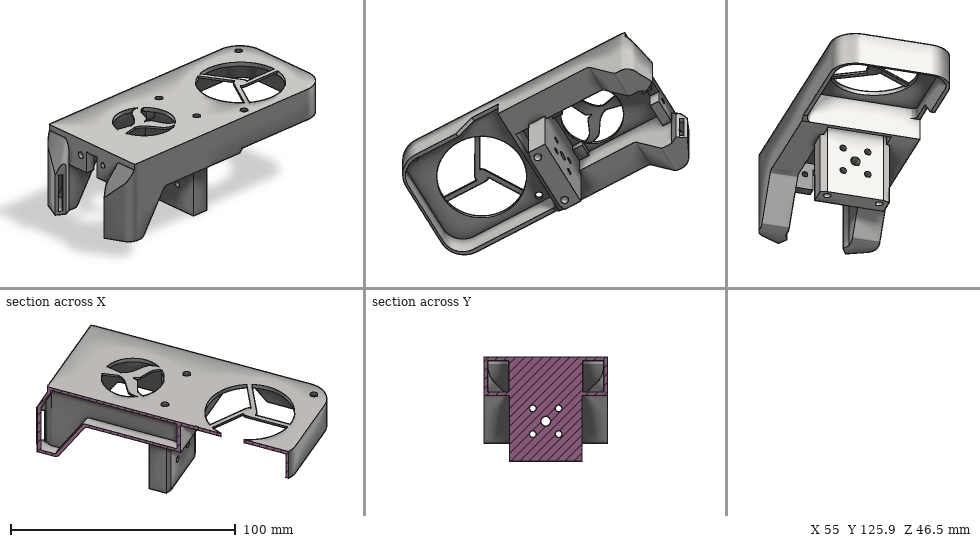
import cadquery as cq
import math

width = 55.0
length = 125.9
half_width = width / 2
front_y = 7.5
roof = 2.0
grille_thickness = 1.0

rear_depth = 15.2
rear_corner_radius = 11.6
rear_inner_radius = 10.1
rear_wall = 1.0
side_wall = 1.9
divider_y = 72.3
divider_thickness = 2.0
divider_fillet = 2.3
step_run = 1.9
cutout_top = 7.0
cutout_slope_end = 85.6

duct_depth = 17.1
duct_wall = 1.8
duct_inner_x = 14.7
duct_overlap_x = duct_inner_x + duct_wall
leg_depth = 38.4
leg_top_y = 26.0
leg_bottom_y = 12.5
leg_bend_radius = 2.8
finger_arc_radius = 5.9
finger_arc_start_y = 9.5
finger_tip_x = 15.6
finger_inner_x = 13.1
finger_inner_y = 4.3
finger_bend_y = 7.7
finger_angle = 27.0
slope_start_depth = 2.9
slope_end_depth = 18.3
finger_edge_radius = 1.9
slot_width = 2.0
slot_top = 18.6
slot_height = leg_depth - duct_wall - slot_top
slot_reach = 6.3

front_wall = 4.4
front_wall_depth = 15.4
notch_width = 6.5
notch_top = 5.2
wire_hole_x = 7.0
wire_hole_depth = 7.9
wire_hole_diameters = {-1: 3.1, 1: 2.5}

plate_width = 32.2
plate_front_y = 54.8
plate_rear_y = 64.1
plate_depth = 46.5
plate_bevel_y = 1.0
plate_bevel_x = 3.0
plate_hole_pitch = 11.5
plate_hole_diameter = 2.9
plate_centre_hole_diameter = 4.3
plate_hole_centre_depth = 28.6
block_inner_x = 8.8
block_length = 4.9
block_depth = 6.3

large_fan_x = 2.0
large_fan_y = 97.5
large_fan_diameter = 39.9
hub_radius = 3.1
spoke_width = 2.3

small_fan_y = 39.8
small_fan_radius = 14.0
blade_overrun = 1.1
tail_half_width = 3.0

fan_screws = [(-21.0, 118.5), (22.5, 79.8)]
plate_screws = [(-12.1, 60.7), (12.1, 60.7)]
screw_diameter = 3.4


def box(x0, x1, y0, y1, depth, top=0.0):
    """Block between two X and two Y positions, from depth `top` down to `depth`."""
    plane = cq.Workplane("XY", origin=((x0 + x1) / 2, (y0 + y1) / 2, -depth))
    return plane.rect(x1 - x0, y1 - y0).extrude(depth - top)


def both_sides(shape):
    """A shape joined to its mirror image across the middle of the part."""
    return shape.union(shape.mirror("YZ"))


def side_profile(points):
    """Closed outline in Y and Z, ready to extrude along X from the middle of the part."""
    return cq.Workplane("YZ").polyline(points).close()


def rear_shell():
    """Fan compartment, open underneath, with a cutout in its left wall."""
    rear_inner_y = length - rear_wall
    inner_half = half_width - side_wall
    outer = box(-half_width, half_width, divider_y, length, rear_depth)
    outer = outer.edges("|Z and >Y").fillet(rear_corner_radius)
    wedge = side_profile(
        [
            (divider_y, -rear_depth),
            (divider_y, -duct_depth),
            (divider_y + step_run, -rear_depth),
        ]
    ).extrude(half_width, both=True)
    cavity = box(-inner_half, inner_half, divider_y, rear_inner_y, plate_depth, roof)
    cavity = cavity.edges("|Z and >Y").fillet(rear_inner_radius)
    cavity = cavity.edges("|Z and <Y").fillet(divider_fillet)
    slope_drop = duct_depth - cutout_top
    cutout = side_profile(
        [
            (divider_y, -cutout_top),
            (cutout_slope_end, -cutout_top),
            (cutout_slope_end + slope_drop, -duct_depth),
            (divider_y, -duct_depth),
        ]
    ).extrude(-half_width)
    cutout = cutout.intersect(box(-half_width, divider_fillet - inner_half, 0, length, plate_depth))
    return outer.union(wedge).cut(cavity).cut(cutout)


def duct_plan(rear_y, bend_y, top=0.0):
    """Outline of the right duct and finger along Z; its inner side turns parallel to Y at bend_y."""
    angle = math.radians(finger_angle)
    half_turn = (math.pi / 2 - angle) / 2
    arc_x = half_width - finger_arc_radius
    arc_middle = (
        arc_x + finger_arc_radius * math.cos(half_turn),
        finger_arc_start_y - finger_arc_radius * math.sin(half_turn),
    )
    arc_end = (
        arc_x + finger_arc_radius * math.sin(angle),
        finger_arc_start_y - finger_arc_radius * math.cos(angle),
    )
    inner_slant = (duct_inner_x - finger_inner_x) / (finger_bend_y - finger_inner_y)
    bend_x = finger_inner_x + inner_slant * (bend_y - finger_inner_y)
    outline = (
        cq.Workplane("XY", origin=(0, 0, top))
        .moveTo(half_width, rear_y)
        .lineTo(half_width, finger_arc_start_y)
        .threePointArc(arc_middle, arc_end)
        .lineTo(finger_tip_x, 0)
        .lineTo(finger_inner_x, finger_inner_y)
        .lineTo(bend_x, bend_y)
    )
    if bend_y < rear_y:
        outline = outline.lineTo(bend_x, rear_y)
    return outline.close()


def leg_profile(front):
    """Outline of the duct and its leg in Y and Z, from the given front points to the divider."""
    underside = [
        (leg_bottom_y, -leg_depth),
        (leg_top_y, -duct_depth),
        (divider_y, -duct_depth),
        (divider_y, 0),
    ]
    return side_profile(front + underside)


def finger():
    """Sloped tip of the right leg, with its inner slope edge rounded."""
    slope = (slope_end_depth - slope_start_depth) / front_y
    blank_rear_y = 2 * front_y
    blank_top = slope * blank_rear_y - slope_end_depth
    blank = duct_plan(blank_rear_y, blank_rear_y, blank_top).extrude(-leg_depth - blank_top)
    wedge = side_profile([(0, -slope_end_depth), (blank_rear_y, blank_top), (0, blank_top)])
    blank = blank.cut(wedge.extrude(half_width))
    edge_middle_y = (blank_rear_y + finger_inner_y) / 2
    edge_middle = (
        duct_inner_x,
        edge_middle_y,
        slope * edge_middle_y - slope_end_depth,
    )
    blank = blank.edges(cq.selectors.NearestToPointSelector(edge_middle)).fillet(finger_edge_radius)
    return blank.intersect(box(0, half_width, 0, front_y + duct_wall, leg_depth))


def duct():
    """Right duct with its leg and finger, hollow down to the slot in the finger."""
    side = leg_profile([(front_y, 0), (front_y, -leg_depth)]).extrude(half_width)
    for bend in [(leg_bottom_y, -leg_depth), (leg_top_y, -duct_depth)]:
        bend_edge = cq.selectors.NearestToPointSelector((half_width / 2, *bend))
        side = side.edges(bend_edge).fillet(leg_bend_radius)
    outer = duct_plan(divider_y, finger_bend_y).extrude(-leg_depth).intersect(side).union(finger())
    sloped_front = [
        (front_y, 0),
        (front_y, -slope_start_depth),
        (0, -slope_end_depth),
        (0, -leg_depth),
    ]
    cavity = duct_plan(divider_y, finger_bend_y).offset2D(-duct_wall).extrude(-leg_depth)
    cavity = cavity.intersect(leg_profile(sloped_front).offset2D(-duct_wall).extrude(half_width))
    return outer.cut(cavity).cut(finger_slot())


def finger_slot():
    """Cut for the outlet slot, square to the face at the end of the finger."""
    tip_angle = math.degrees(math.atan2(finger_inner_y, finger_inner_x - finger_tip_x))
    slot = cq.Workplane("XY").box(slot_width, 2 * slot_reach, slot_height)
    slot = slot.rotate((0, 0, 0), (0, 0, 1), tip_angle)
    return slot.translate(
        (
            (finger_tip_x + finger_inner_x) / 2,
            finger_inner_y / 2,
            -slot_top - slot_height / 2,
        )
    )


def front_panel():
    """Wall between the legs with a central notch and two wire holes."""
    rear_y = front_y + front_wall
    panel = box(-duct_overlap_x, duct_overlap_x, front_y, rear_y, front_wall_depth)
    panel = panel.cut(box(-notch_width / 2, notch_width / 2, 0, length, plate_depth, notch_top))
    for side, diameter in wire_hole_diameters.items():
        hole = cq.Workplane("XZ").center(side * wire_hole_x, -wire_hole_depth).circle(diameter / 2)
        panel = panel.cut(hole.extrude(-rear_y))
    return panel


def mounting_plate():
    """Thick plate hanging from the roof, with bevelled rear edges and a five-hole pattern."""
    half = plate_width / 2
    bevel_y = plate_rear_y - plate_bevel_y
    bevel_x = half - plate_bevel_x
    plate = (
        cq.Workplane("XY")
        .polyline(
            [
                (-half, plate_front_y),
                (half, plate_front_y),
                (half, bevel_y),
                (bevel_x, plate_rear_y),
                (-bevel_x, plate_rear_y),
                (-half, bevel_y),
            ]
        )
        .close()
        .extrude(-plate_depth)
    )
    centre = cq.Workplane("XZ", origin=(0, 0, -plate_hole_centre_depth))
    corners = centre.rect(plate_hole_pitch, plate_hole_pitch, forConstruction=True).vertices()
    plate = plate.cut(corners.circle(plate_hole_diameter / 2).extrude(-length))
    plate = plate.cut(centre.circle(plate_centre_hole_diameter / 2).extrude(-length))
    block = box(block_inner_x, duct_inner_x, plate_front_y - block_length, plate_front_y, block_depth)
    return plate.union(both_sides(block))


def top_plate():
    """Roof over the space between the ducts; the ducts and the rear shell carry their own."""
    return box(-duct_overlap_x, duct_overlap_x, front_y, divider_y, roof)


def large_fan_grille():
    """Hub and three spokes, each spoke offset so its outer edge is tangent to the hub."""
    grille = cq.Workplane("XY").circle(hub_radius).extrude(-grille_thickness)
    spoke = box(hub_radius - spoke_width, hub_radius, 0, large_fan_diameter / 2, grille_thickness)
    for turn in range(3):
        grille = grille.union(spoke.rotate((0, 0, 0), (0, 0, 1), 120 * turn))
    return grille


def large_fan_opening():
    """Cut for the large round opening, leaving its grille."""
    disc = cq.Workplane("XY").circle(large_fan_diameter / 2).extrude(-roof)
    return disc.cut(large_fan_grille()).translate((large_fan_x, large_fan_y, 0))


def propeller():
    """Three blades that run out past the rim of the small opening, symmetric about the YZ plane."""
    tail_y = -(small_fan_radius + blade_overrun)
    half = (
        cq.Workplane("XY")
        .moveTo(0, 0.3)
        .lineTo(1.3, 2.9)
        .lineTo(7.3, 5.5)
        .threePointArc((9.2, 7.2), (10.2, 9.6))
        .lineTo(small_fan_radius, small_fan_radius)
        .lineTo(11.8, 7.4)
        .threePointArc((11.5, 4.7), (10.1, 2.1))
        .lineTo(4.8, -1.4)
        .threePointArc((2.1, -4.2), (1.1, -6.5))
        .lineTo(tail_half_width, tail_y)
        .lineTo(0, tail_y)
        .close()
        .extrude(-grille_thickness)
    )
    return both_sides(half)


def small_fan_opening():
    """Cut for the small round opening, leaving its propeller."""
    disc = cq.Workplane("XY").circle(small_fan_radius).extrude(-roof)
    return disc.cut(propeller()).translate((0, small_fan_y, 0))


def divider():
    """Cross wall that closes the front of the fan compartment and the rear of the ducts."""
    return box(-half_width, half_width, divider_y - divider_thickness, divider_y, duct_depth)


body = top_plate().union(rear_shell()).union(divider()).union(both_sides(duct()))
body = body.union(front_panel()).union(mounting_plate())
body = body.cut(large_fan_opening()).cut(small_fan_opening())
screws = cq.Workplane("XY").pushPoints(fan_screws + plate_screws).circle(screw_diameter / 2)
result = body.cut(screws.extrude(-plate_depth))